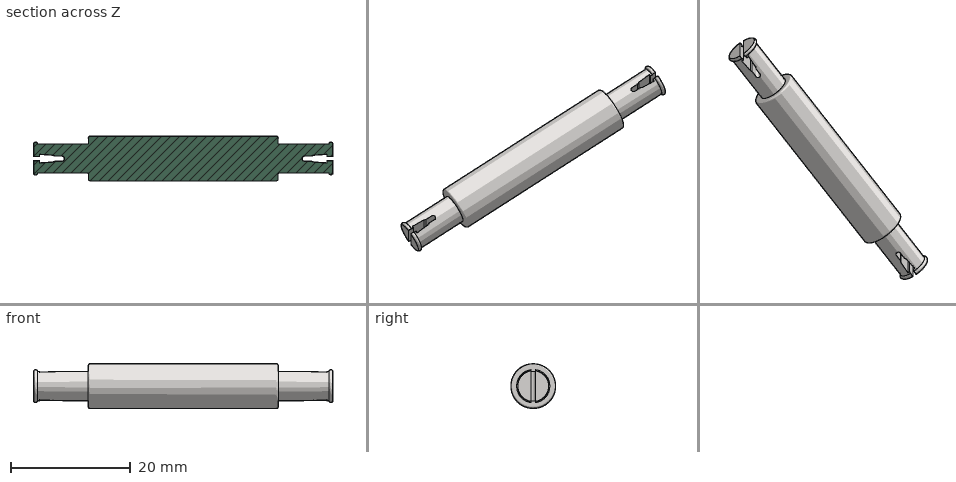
import cadquery as cq

overall_length = 49.98
half_length = overall_length / 2

barrel_length = 31.76
barrel_radius = 7.5 / 2
barrel_edge_fillet = 0.3

pin_radius = 4.95 / 2
bead_radius = 5.54 / 2
bead_face_radius = 5.15 / 2
bead_crest_offset = 0.32
bead_length = 0.67

mouth_half_width = 0.7 / 2
mouth_depth = 1.0
pocket_half_width = 1.4 / 2
shoulder_start = 3.25
shoulder_half_width = 1.1 / 2
neck_start = 3.6
neck_half_width = 0.8 / 2
slot_depth = 5.1
slot_corner_radius = 0.35


def make_barrel():
    start_plane = cq.Workplane("YZ", origin=(-barrel_length / 2, 0, 0))
    barrel = start_plane.circle(barrel_radius).extrude(barrel_length)
    return barrel.faces("<X or >X").edges().fillet(barrel_edge_fillet)


def make_beaded_pin():
    """Solid pin on the -X side, running from its end face to the middle of the barrel."""
    end = -half_length
    return (
        cq.Workplane("XY")
        .moveTo(0, 0)
        .lineTo(end, 0)
        .lineTo(end, bead_face_radius)
        .threePointArc(
            (end + bead_crest_offset, bead_radius),
            (end + bead_length, pin_radius),
        )
        .lineTo(0, pin_radius)
        .close()
        .revolve(360, (0, 0, 0), (1, 0, 0))
    )


def make_slot():
    """Cutter for the -X slot: narrow mouth, gently tapering pocket, steeper shoulder, neck."""
    end = -half_length
    upper_side = [
        (end, mouth_half_width),
        (end + mouth_depth, mouth_half_width),
        (end + mouth_depth, pocket_half_width),
        (end + shoulder_start, shoulder_half_width),
        (end + neck_start, neck_half_width),
        (end + slot_depth, neck_half_width),
    ]
    lower_side = [(x, -y) for x, y in reversed(upper_side)]
    slot = (
        cq.Workplane("XY")
        .polyline(upper_side + lower_side)
        .close()
        .extrude(2 * bead_radius, both=True)
    )
    return slot.faces(">X").edges("|Z").fillet(slot_corner_radius)


slotted_pin = make_beaded_pin().cut(make_slot())
result = make_barrel().union(slotted_pin).union(slotted_pin.mirror("YZ"))